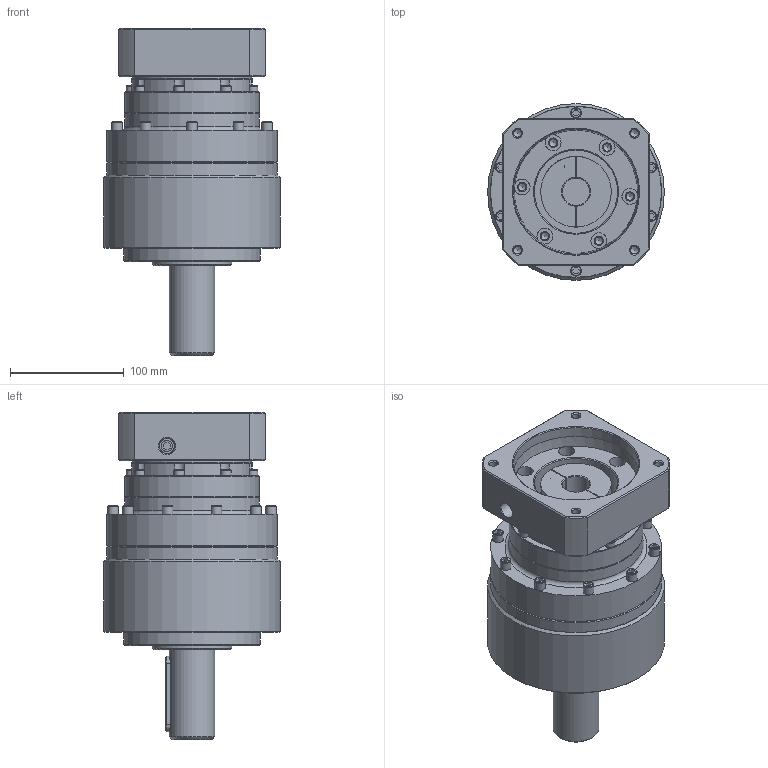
import cadquery as cq
import math


SHAFT_RADIUS = 20.0
SHAFT_TIP_CHAMFER = 2.3
KEY_WIDTH = 12.0
KEY_HEIGHT = 8.0
KEY_PROTRUSION = 3.0
KEY_LENGTH = 66.0
KEY_BOTTOM_Z = 7.0
KEY_CHAMFER = 0.6
KEY_SEAT_Y = SHAFT_RADIUS + KEY_PROTRUSION - KEY_HEIGHT

SEAL_RADIUS = 35.0
SEAL_BOTTOM_Z = 79.0
PILOT_RADIUS = 60.0
PILOT_BOTTOM_Z = 82.5
BODY_RADIUS = 77.5
BODY_BOTTOM_Z = 94.0
BODY_TOP_Z = 158.3
BODY_TOP_CHAMFER = 2.2
FLANGE_RADIUS = 75.0
FLANGE_TOP_Z = 197.5
COVER_RADIUS = 59.0
COVER_TOP_Z = 231.5
NECK_RADIUS = 53.0
JOINT_Z = 242.5
EDGE_CHAMFER = 1.0
SMALL_CHAMFER = 0.5
COVER_ROOT_FILLET = 3.5

FLANGE_GROOVE_Z = 169.3
FLANGE_GROOVE_DEPTH = 0.8
COVER_GROOVE_Z = 212.7
COVER_GROOVE_DEPTH = 0.5

SCREW_HEAD_DIAMETER = 9.4
SCREW_HEAD_CHAMFER = 0.6
SCREW_HEX_ACROSS_FLATS = 5.0
SCREW_HEX_DEPTH = 3.0
FLANGE_SCREW_COUNT = 10
FLANGE_SCREW_CIRCLE_RADIUS = 69.3
FLANGE_SCREW_FIRST_ANGLE = 90.0
FLANGE_SCREW_HEIGHT = 8.0
COVER_SCREW_COUNT = 8
COVER_SCREW_CIRCLE_RADIUS = 54.2
COVER_SCREW_FIRST_ANGLE = -12.0
COVER_SCREW_HEIGHT = 5.3
COVER_POCKET_RADIUS = 5.0

HUB_RADIUS = 31.0
HUB_TOP_Z = 265.0
HUB_BORE_RADIUS = 12.0
HUB_BORE_CHAMFER = 0.75
HUB_SLIT_WIDTH = 1.0
HUB_BASE_THICKNESS = 3.0
CLAMP_SCREW_Y = 22.0
CLAMP_SCREW_Z = 257.5
CLAMP_SCREW_HEAD_DIAMETER = 10.0
CLAMP_SCREW_HEX_ACROSS_FLATS = 6.0
CLAMP_SCREW_HEIGHT = 6.0
CLAMP_SPOTFACE_DIAMETER = 13.2
CLAMP_ACCESS_DIAMETER = 14.2
CLAMP_ACCESS_CHAMFER = 0.5
CLAMP_SEAT_X = -10.0

ADAPTER_SIDE = 129.0
ADAPTER_CORNER_RADIUS = 82.0
ADAPTER_BOTTOM_Z = 244.5
ADAPTER_TOP_Z = 287.0
ADAPTER_RING_RADIUS = 53.0
MOTOR_PILOT_RADIUS = 55.0
CAVITY_CHAMFER = 0.8
CAVITY_FLOOR_RADIUS = 54.0
CAVITY_DEPTH = 20.0
MOTOR_PILOT_DEPTH = CAVITY_DEPTH / 2
HUB_CLEARANCE_RADIUS = 36.5
CAVITY_FLOOR_Z = ADAPTER_TOP_Z - CAVITY_DEPTH

MOTOR_HOLE_COUNT = 4
MOTOR_HOLE_CIRCLE_RADIUS = 72.5
MOTOR_HOLE_FIRST_ANGLE = 45.0
MOTOR_HOLE_DIAMETER = 6.8
MOTOR_HOLE_DEPTH = 20.0
MOTOR_HOLE_CHAMFER = 1.0

SEAT_HOLE_COUNT = 6
SEAT_HOLE_CIRCLE_RADIUS = 47.5
SEAT_HOLE_FIRST_ANGLE = -5.0
SEAT_COUNTERBORE_DIAMETER = 14.0
SEAT_COUNTERBORE_DEPTH = 14.0
SEAT_PILOT_DIAMETER = 6.8
SEAT_PILOT_DEPTH = 5.0
SEAT_PILOT_CHAMFER = 0.7

DRILL_POINT_ANGLE = 118.0


def circle_points(count, radius, first_angle):
    """Evenly spaced (x, y) points around the main axis."""
    angles = [math.radians(first_angle + i * 360.0 / count) for i in range(count)]
    return [(radius * math.cos(a), radius * math.sin(a)) for a in angles]


def disc(radius, bottom_z, top_z):
    return cq.Workplane("XY").workplane(offset=bottom_z).circle(radius).extrude(top_z - bottom_z)


def v_groove(radius, depth, z):
    """Ring with a triangular section that cuts a 90 degree groove into a cylinder."""
    return (
        cq.Workplane("XZ")
        .moveTo(radius - depth, z)
        .lineTo(radius, z - depth)
        .lineTo(radius, z + depth)
        .close()
        .revolve(360, (0, 0, 0), (0, 1, 0))
    )


def socket_head(diameter, height, hex_across_flats):
    """Plain cylindrical screw head with a hexagon socket, standing on the XY plane."""
    return (
        cq.Workplane("XY")
        .circle(diameter / 2)
        .extrude(height)
        .faces(">Z")
        .workplane()
        .polygon(6, hex_across_flats / math.cos(math.pi / 6))
        .cutBlind(-SCREW_HEX_DEPTH)
    )


def housing_screw_head(height):
    """Socket head with a chamfered rim, as used on the flange and the cover."""
    head = socket_head(SCREW_HEAD_DIAMETER, height, SCREW_HEX_ACROSS_FLATS)
    return head.edges("%CIRCLE and >Z").chamfer(SCREW_HEAD_CHAMFER)


def drilled_hole(diameter, depth, chamfer):
    """Cutter for a blind hole down from Z = 0, with a countersunk mouth and a drill point."""
    radius = diameter / 2
    point_depth = radius / math.tan(math.radians(DRILL_POINT_ANGLE / 2))
    return (
        cq.Workplane("XZ")
        .lineTo(radius + chamfer, 0)
        .lineTo(radius, -chamfer)
        .lineTo(radius, -depth)
        .lineTo(0, -depth - point_depth)
        .close()
        .revolve(360, (0, 0, 0), (0, 1, 0))
    )


def key_blank():
    """Round-ended key blank, lying in the +Y side of the shaft."""
    return (
        cq.Workplane("XZ", origin=(0, KEY_SEAT_Y, 0))
        .center(0, KEY_BOTTOM_Z + KEY_LENGTH / 2)
        .slot2D(KEY_LENGTH, KEY_WIDTH, 90)
        .extrude(-KEY_HEIGHT)
    )


def make_key():
    return key_blank().faces(">Y").chamfer(KEY_CHAMFER)


def make_housing():
    """Turned steps of the gear unit with the output shaft."""
    shaft = disc(SHAFT_RADIUS, 0, SEAL_BOTTOM_Z).faces("<Z").chamfer(SHAFT_TIP_CHAMFER)
    seal = disc(SEAL_RADIUS, SEAL_BOTTOM_Z, PILOT_BOTTOM_Z).faces("<Z").chamfer(EDGE_CHAMFER)
    pilot = disc(PILOT_RADIUS, PILOT_BOTTOM_Z, BODY_BOTTOM_Z).faces("<Z").chamfer(EDGE_CHAMFER)
    body = (
        disc(BODY_RADIUS, BODY_BOTTOM_Z, BODY_TOP_Z)
        .faces("<Z")
        .chamfer(EDGE_CHAMFER)
        .faces(">Z")
        .chamfer(BODY_TOP_CHAMFER)
    )
    flange = disc(FLANGE_RADIUS, BODY_TOP_Z, FLANGE_TOP_Z)
    cover = disc(COVER_RADIUS, FLANGE_TOP_Z, COVER_TOP_Z).faces(">Z").chamfer(SMALL_CHAMFER)
    flange = flange.union(cover)
    cover_wall = cq.selectors.RadiusNthSelector(1)
    flange = flange.edges(cover_wall).edges("<Z").fillet(COVER_ROOT_FILLET)
    flange = flange.cut(v_groove(FLANGE_RADIUS, FLANGE_GROOVE_DEPTH, FLANGE_GROOVE_Z))
    flange = flange.cut(v_groove(COVER_RADIUS, COVER_GROOVE_DEPTH, COVER_GROOVE_Z))
    neck = disc(NECK_RADIUS, COVER_TOP_Z, JOINT_Z).faces(">Z").chamfer(SMALL_CHAMFER)
    return shaft.union(seal).union(pilot).union(body).union(flange).union(neck)


def make_hub():
    """Slit clamping hub with its cross screw."""
    slot_depth = HUB_TOP_Z - JOINT_Z - HUB_BASE_THICKNESS
    hub = disc(HUB_RADIUS, JOINT_Z, HUB_TOP_Z)
    hub = hub.faces(">Z").workplane().circle(HUB_BORE_RADIUS).cutBlind(-slot_depth)
    bore_rim = cq.selectors.RadiusNthSelector(0)
    hub = hub.faces(">Z").edges("%CIRCLE").edges(bore_rim).chamfer(HUB_BORE_CHAMFER)
    hub = hub.faces(">Z").workplane().rect(HUB_SLIT_WIDTH, 2 * HUB_RADIUS).cutBlind(-slot_depth)

    screw_plane = cq.Plane(
        origin=(CLAMP_SEAT_X, CLAMP_SCREW_Y, CLAMP_SCREW_Z), xDir=(0, 0, 1), normal=(-1, 0, 0)
    )
    spotface = cq.Workplane(screw_plane).circle(CLAMP_SPOTFACE_DIAMETER / 2).extrude(HUB_RADIUS)
    screw = socket_head(CLAMP_SCREW_HEAD_DIAMETER, CLAMP_SCREW_HEIGHT, CLAMP_SCREW_HEX_ACROSS_FLATS)
    screw = screw.val().moved(screw_plane.location)
    return hub.cut(spotface).union(cq.Workplane(screw))


def make_gear_unit():
    unit = make_housing()
    unit = unit.cut(key_blank())

    cover_screws = circle_points(COVER_SCREW_COUNT, COVER_SCREW_CIRCLE_RADIUS, COVER_SCREW_FIRST_ANGLE)
    for x, y in cover_screws:
        unit = unit.cut(disc(COVER_POCKET_RADIUS, COVER_TOP_Z, JOINT_Z).translate((x, y, 0)))
    for x, y in cover_screws:
        unit = unit.union(housing_screw_head(COVER_SCREW_HEIGHT).translate((x, y, COVER_TOP_Z)))

    for x, y in circle_points(FLANGE_SCREW_COUNT, FLANGE_SCREW_CIRCLE_RADIUS, FLANGE_SCREW_FIRST_ANGLE):
        unit = unit.union(housing_screw_head(FLANGE_SCREW_HEIGHT).translate((x, y, FLANGE_TOP_Z)))

    return unit.union(make_hub())


def adapter_cavity():
    """Cutter for the motor pilot, its tapered lower part and the hub clearance bore."""
    return (
        cq.Workplane("XZ")
        .moveTo(0, ADAPTER_TOP_Z)
        .lineTo(MOTOR_PILOT_RADIUS + CAVITY_CHAMFER, ADAPTER_TOP_Z)
        .lineTo(MOTOR_PILOT_RADIUS, ADAPTER_TOP_Z - CAVITY_CHAMFER)
        .lineTo(MOTOR_PILOT_RADIUS, ADAPTER_TOP_Z - MOTOR_PILOT_DEPTH)
        .lineTo(CAVITY_FLOOR_RADIUS, CAVITY_FLOOR_Z)
        .lineTo(HUB_CLEARANCE_RADIUS + CAVITY_CHAMFER, CAVITY_FLOOR_Z)
        .lineTo(HUB_CLEARANCE_RADIUS, CAVITY_FLOOR_Z - CAVITY_CHAMFER)
        .lineTo(HUB_CLEARANCE_RADIUS, JOINT_Z)
        .lineTo(0, JOINT_Z)
        .close()
        .revolve(360, (0, 0, 0), (0, 1, 0))
    )


def make_adapter():
    height = ADAPTER_TOP_Z - ADAPTER_BOTTOM_Z
    plate = (
        cq.Workplane("XY", origin=(0, 0, ADAPTER_BOTTOM_Z))
        .rect(ADAPTER_SIDE, ADAPTER_SIDE)
        .extrude(height)
        .intersect(disc(ADAPTER_CORNER_RADIUS, ADAPTER_BOTTOM_Z, ADAPTER_TOP_Z))
        .faces("<Z or >Z")
        .chamfer(EDGE_CHAMFER)
    )
    ring = disc(ADAPTER_RING_RADIUS, JOINT_Z, ADAPTER_BOTTOM_Z).faces("<Z").chamfer(SMALL_CHAMFER)
    adapter = plate.union(ring).cut(adapter_cavity())

    motor_hole = drilled_hole(MOTOR_HOLE_DIAMETER, MOTOR_HOLE_DEPTH, MOTOR_HOLE_CHAMFER)
    for x, y in circle_points(MOTOR_HOLE_COUNT, MOTOR_HOLE_CIRCLE_RADIUS, MOTOR_HOLE_FIRST_ANGLE):
        adapter = adapter.cut(motor_hole.translate((x, y, ADAPTER_TOP_Z)))

    seat_z = CAVITY_FLOOR_Z - SEAT_COUNTERBORE_DEPTH
    seat_hole = drilled_hole(SEAT_PILOT_DIAMETER, SEAT_PILOT_DEPTH, SEAT_PILOT_CHAMFER)
    seat_hole = seat_hole.translate((0, 0, seat_z))
    seat_hole = seat_hole.union(disc(SEAT_COUNTERBORE_DIAMETER / 2, seat_z, CAVITY_FLOOR_Z))
    for x, y in circle_points(SEAT_HOLE_COUNT, SEAT_HOLE_CIRCLE_RADIUS, SEAT_HOLE_FIRST_ANGLE):
        adapter = adapter.cut(seat_hole.translate((x, y, 0)))

    access = (
        cq.Workplane("YZ", origin=(-ADAPTER_SIDE / 2, CLAMP_SCREW_Y, CLAMP_SCREW_Z))
        .circle(CLAMP_ACCESS_DIAMETER / 2)
        .extrude(ADAPTER_SIDE / 2)
    )
    adapter = adapter.cut(access)
    return adapter.faces("<X").edges("%CIRCLE").chamfer(CLAMP_ACCESS_CHAMFER)


gear_unit = make_gear_unit()
adapter = make_adapter()
key = make_key()

result = cq.Compound.makeCompound([gear_unit.val(), adapter.val(), key.val()])